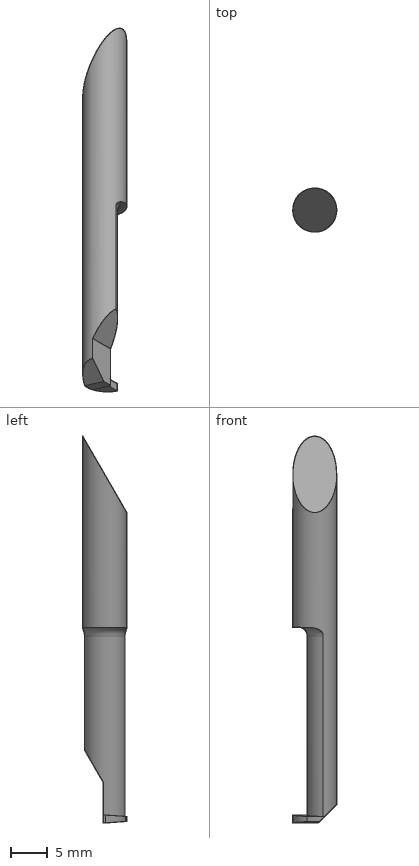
import cadquery as cq
import math

LENGTH = 52.45
SHANK_RADIUS = 3.0
SLANT_ANGLE = 60.0
SHOULDER_Z = 26.55

NECK_RADIUS = 2.85
NECK_CENTER_X = 1.8
SHOULDER_FILLET = 1.15

FLAT_Y = 0.2
FLAT_TOP_Z = 5.5

CHAMFER_SIZE = 2.5

RAKE_Y = -0.1
TIP_HEIGHT = 1.1
TIP_TAPER = 0.2
SEAT_X = -1.05

MARGIN = 0.5
REACH = SHANK_RADIUS + MARGIN


def tapered_disc(back_y):
    """Round slice of the shank ending at back_y, thinner towards -Y."""
    front_y = -SHANK_RADIUS
    profile = (
        cq.Workplane("YZ", origin=(-REACH, 0, 0))
        .polyline([
            (front_y, TIP_TAPER),
            (back_y, 0),
            (back_y, TIP_HEIGHT),
            (front_y, TIP_HEIGHT - TIP_TAPER),
        ])
        .close()
        .extrude(2 * REACH)
    )
    return profile.intersect(cq.Workplane("XY").circle(SHANK_RADIUS).extrude(TIP_HEIGHT))


def slab(min_x, max_x):
    """Block between two X positions, as deep and tall as the tip region."""
    return cq.Workplane("XY").box(
        max_x - min_x, 2 * REACH, TIP_HEIGHT, centered=(False, True, False)
    ).translate((min_x, 0, 0))


def slanted_top():
    """Material above the slanted top, which is highest at +Y."""
    rise = math.tan(math.radians(SLANT_ANGLE))
    low_z = LENGTH - rise * (SHANK_RADIUS + REACH)
    high_z = LENGTH + rise * MARGIN
    return (
        cq.Workplane("YZ", origin=(-REACH, 0, 0))
        .polyline([(-REACH, low_z), (REACH, high_z), (-REACH, high_z)])
        .close()
        .extrude(2 * REACH)
    )


def neck_clearance():
    """Material removed around the neck, with a fillet up to the shoulder."""
    bottom_z = TIP_HEIGHT / 2
    outer_radius = NECK_CENTER_X + SHANK_RADIUS + MARGIN
    fillet_mid = SHOULDER_FILLET * (1 - math.sqrt(0.5))
    return (
        cq.Workplane("XZ")
        .moveTo(NECK_RADIUS, bottom_z)
        .lineTo(NECK_RADIUS, SHOULDER_Z - SHOULDER_FILLET)
        .threePointArc(
            (NECK_RADIUS + fillet_mid, SHOULDER_Z - fillet_mid),
            (NECK_RADIUS + SHOULDER_FILLET, SHOULDER_Z),
        )
        .lineTo(outer_radius, SHOULDER_Z)
        .lineTo(outer_radius, bottom_z)
        .close()
        .revolve(360, (0, 0, 0), (0, 1, 0))
        .translate((NECK_CENTER_X, 0, 0))
    )


def rear_relief():
    """Flat on the +Y side of the neck with a slanted run-out."""
    runout_z = FLAT_TOP_Z + (REACH - FLAT_Y) * math.tan(math.radians(SLANT_ANGLE))
    return (
        cq.Workplane("YZ", origin=(-REACH, 0, 0))
        .polyline([(FLAT_Y, -MARGIN), (FLAT_Y, FLAT_TOP_Z), (REACH, runout_z), (REACH, -MARGIN)])
        .close()
        .extrude(2 * REACH)
    )


def end_chamfer():
    """Corner removed at the lower end on the +X side."""
    top_z = CHAMFER_SIZE + MARGIN
    bottom_x = SHANK_RADIUS - CHAMFER_SIZE - MARGIN
    return (
        cq.Workplane("XZ", origin=(0, REACH, 0))
        .polyline([(REACH, top_z), (bottom_x, -MARGIN), (REACH, -MARGIN)])
        .close()
        .extrude(2 * REACH)
    )


def make_holder():
    bar = (
        cq.Workplane("XY", origin=(0, 0, TIP_HEIGHT / 2))
        .circle(SHANK_RADIUS)
        .extrude(LENGTH - TIP_HEIGHT / 2)
        .cut(slanted_top())
        .cut(neck_clearance())
    )
    foot = tapered_disc(FLAT_Y).intersect(slab(SEAT_X, REACH))
    return bar.union(foot).cut(rear_relief()).cut(end_chamfer())


def make_tip():
    return tapered_disc(RAKE_Y).intersect(slab(-REACH, SEAT_X))


holder = make_holder()
tip = make_tip()

result = cq.Compound.makeCompound([holder.val(), tip.val()])